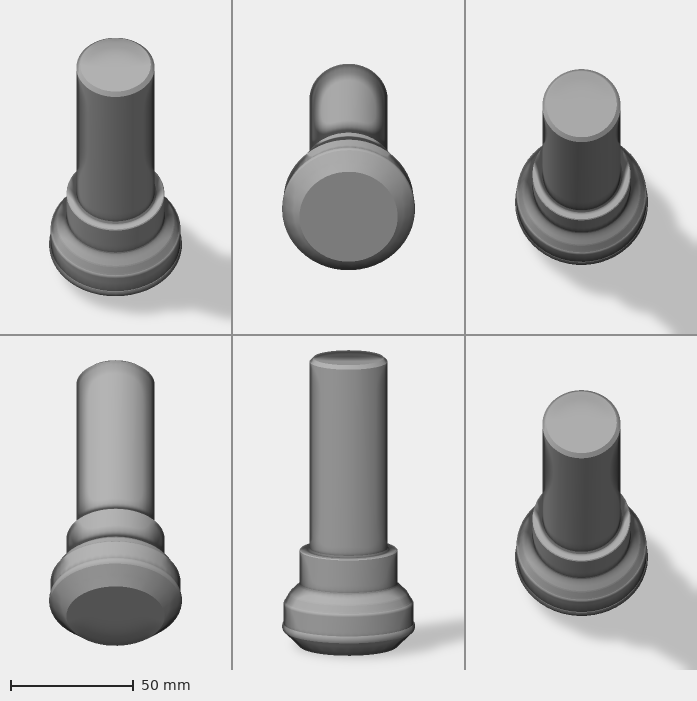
import cadquery as cq

TOTAL_HEIGHT = 120.0

DISC_BOTTOM_RADIUS = 20.0
RIM_RADIUS = 27.1
RIM_EDGE_RADIUS = 26.8
RIM_BOTTOM_Z = 6.6
RIM_TOP_Z = 9.5
RIM_MIDDLE_Z = (RIM_BOTTOM_Z + RIM_TOP_Z) / 2

HEAD_RADIUS = 53.1 / 2
HEAD_CYLINDER_TOP_Z = 17.5
HEAD_ROUND_TOP_Z = 18.7
HEAD_ROUND_TOP_RADIUS = 25.9
SHOULDER_STEP_Z = 19.3
SHOULDER_STEP_RADIUS = 25.6
SHOULDER_TOP_Z = 21.7
SHOULDER_TOP_RADIUS = 24.3
SHOULDER_BREAK_WIDTH = 0.4
SHOULDER_BREAK_HEIGHT = 0.5

COLLAR_RADIUS = 40.0 / 2
COLLAR_FOOT_WIDTH = 0.2
COLLAR_FOOT_HEIGHT = 0.5
COLLAR_BOTTOM_Z = 25.7
COLLAR_TOP_Z = 40.1
COLLAR_CHAMFER = 0.4
SHANK_RADIUS = 31.9 / 2
SHANK_ROOT_SIZE = 0.7
SHANK_CHAMFER = 1.6


def revolve_about_z(outline):
    """Revolve a closed (radius, z) outline into a solid of revolution."""
    return outline.close().revolve(360, (0, 0, 0), (0, 1, 0))


def make_disc():
    """Conical disc with a rounded rim, closing the lower end of the part."""
    outline = (
        cq.Workplane("XZ")
        .lineTo(DISC_BOTTOM_RADIUS, 0)
        .lineTo(RIM_EDGE_RADIUS, RIM_BOTTOM_Z)
        .threePointArc((RIM_RADIUS, RIM_MIDDLE_Z), (RIM_EDGE_RADIUS, RIM_TOP_Z))
        .lineTo(0, RIM_TOP_Z)
    )
    return revolve_about_z(outline)


def make_holder():
    """Head, collar and shank turned in one piece, resting on the disc."""
    outline = (
        cq.Workplane("XZ")
        .moveTo(0, RIM_TOP_Z)
        .lineTo(HEAD_RADIUS, RIM_TOP_Z)
        .lineTo(HEAD_RADIUS, HEAD_CYLINDER_TOP_Z)
        .tangentArcPoint((HEAD_ROUND_TOP_RADIUS, HEAD_ROUND_TOP_Z), relative=False)
        .lineTo(SHOULDER_STEP_RADIUS, SHOULDER_STEP_Z)
        .lineTo(SHOULDER_TOP_RADIUS, SHOULDER_TOP_Z)
        .lineTo(SHOULDER_TOP_RADIUS - SHOULDER_BREAK_WIDTH, SHOULDER_TOP_Z + SHOULDER_BREAK_HEIGHT)
        .lineTo(COLLAR_RADIUS + COLLAR_FOOT_WIDTH, COLLAR_BOTTOM_Z)
        .lineTo(COLLAR_RADIUS, COLLAR_BOTTOM_Z + COLLAR_FOOT_HEIGHT)
        .lineTo(COLLAR_RADIUS, COLLAR_TOP_Z - COLLAR_CHAMFER)
        .lineTo(COLLAR_RADIUS - COLLAR_CHAMFER, COLLAR_TOP_Z)
        .lineTo(SHANK_RADIUS + SHANK_ROOT_SIZE, COLLAR_TOP_Z)
        .lineTo(SHANK_RADIUS, COLLAR_TOP_Z + SHANK_ROOT_SIZE)
        .lineTo(SHANK_RADIUS, TOTAL_HEIGHT - SHANK_CHAMFER)
        .lineTo(SHANK_RADIUS - SHANK_CHAMFER, TOTAL_HEIGHT)
        .lineTo(0, TOTAL_HEIGHT)
    )
    return revolve_about_z(outline)


disc = make_disc()
holder = make_holder()

result = cq.Compound.makeCompound([disc.val(), holder.val()])